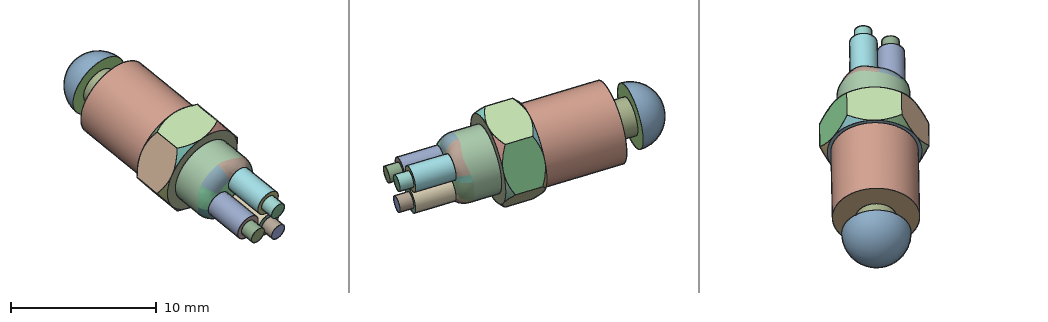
import cadquery as cq
import math

TOTAL_LENGTH = 19.88
DOME_RADIUS = 2.39
BODY_START = 3.84
NUT_START = 9.85
NUT_END = 12.88
NECK_END = 15.88
INSULATION_END = 18.87

STEM_DIAMETER = 2.8
BODY_DIAMETER = 6.0
NUT_ACROSS_FLATS = 6.5
NECK_DIAMETER = 5.0
NECK_FILLET = 1.0

WIRE_COUNT = 3
WIRE_CIRCLE_RADIUS = 1.25
INSULATION_DIAMETER = 1.9
CORE_DIAMETER = 1.21

NUT_ACROSS_CORNERS = NUT_ACROSS_FLATS / math.cos(math.pi / 6)


def rod(diameter, start, end, y=0.0, z=0.0):
    """Round bar parallel to X between two stations."""
    return cq.Workplane("YZ", origin=(start, y, z)).circle(diameter / 2).extrude(end - start)


def dome():
    """Half ball with its tip at x = 0 and its flat side facing +X."""
    return (
        cq.Workplane("XY")
        .moveTo(0, 0)
        .radiusArc((DOME_RADIUS, DOME_RADIUS), DOME_RADIUS)
        .lineTo(DOME_RADIUS, 0)
        .close()
        .revolve(360, (0, 0, 0), (1, 0, 0))
    )


def nut():
    """Hexagon with corners on +Y and -Y, both ends chamfered at 45 degrees."""
    length = NUT_END - NUT_START
    hexagon = cq.Workplane("YZ", origin=(NUT_START, 0, 0)).polygon(6, NUT_ACROSS_CORNERS).extrude(length)
    chamfer = (NUT_ACROSS_CORNERS - NUT_ACROSS_FLATS) / 2
    envelope = rod(NUT_ACROSS_CORNERS, NUT_START, NUT_END).edges("%CIRCLE").chamfer(chamfer)
    return hexagon.intersect(envelope)


def wire(angle):
    """Insulated wire with a bare core, standing on the rear face of the neck."""
    y = WIRE_CIRCLE_RADIUS * math.cos(angle)
    z = WIRE_CIRCLE_RADIUS * math.sin(angle)
    insulation = rod(INSULATION_DIAMETER, NECK_END, INSULATION_END, y, z)
    core = rod(CORE_DIAMETER, INSULATION_END, TOTAL_LENGTH, y, z)
    return insulation.union(core)


def neck_with_wires():
    """Neck whose rounded rear rim runs up to the feet of the three wires."""
    neck = rod(NECK_DIAMETER, NUT_END, NECK_END).rotate((0, 0, 0), (1, 0, 0), 180)
    for index in range(WIRE_COUNT):
        neck = neck.union(wire(math.pi + index * 2 * math.pi / WIRE_COUNT))
    rear_face = cq.selectors.NearestToPointSelector((NECK_END, 0, 0))
    outer_rim = cq.selectors.RadiusNthSelector(-1)
    return neck.faces(rear_face).edges(outer_rim).fillet(NECK_FILLET)


result = dome()
result = result.union(rod(STEM_DIAMETER, DOME_RADIUS, BODY_START))
result = result.union(rod(BODY_DIAMETER, BODY_START, NUT_START))
result = result.union(nut())
result = result.union(neck_with_wires())